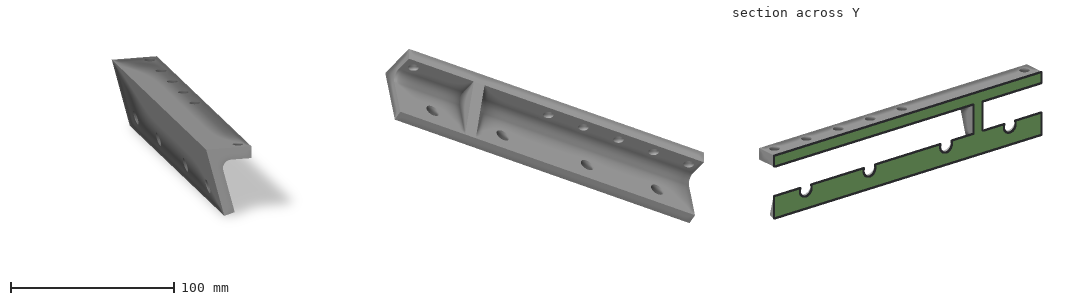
import cadquery as cq
import math

length = 210.0
depth = 28.8
height = 43.0
flange_thickness = 7.5
wall_thickness = 7.0
wall_lean = 15.0
inner_radius = 5.0

flange_hole_diameter = 6.5
flange_hole_end_margin = 7.0
flange_hole_back_margin = 6.5
flange_hole_pitch = 25.0
flange_hole_row_count = 5

wall_hole_diameter = 8.8
wall_hole_end_margin = 25.0
wall_hole_pair_pitch = 50.0
wall_hole_height = 12.2

gusset_thickness = 7.5

lean = math.radians(wall_lean)
wall_run = height * math.tan(lean)
flange_underside = height - flange_thickness

toe_y = wall_run + wall_thickness * math.cos(lean)
toe_z = wall_thickness * math.sin(lean)
inner_corner_y = toe_y - (flange_underside - toe_z) * math.tan(lean)


def extrude_profile(points, start_x, thickness):
    """Extrude a closed (Y, Z) outline along X."""
    return (
        cq.Workplane("YZ", origin=(start_x, 0, 0))
        .polyline(points)
        .close()
        .extrude(thickness)
    )


bracket = extrude_profile(
    [
        (0, height),
        (depth, height),
        (depth, flange_underside),
        (inner_corner_y, flange_underside),
        (toe_y, toe_z),
        (wall_run, 0),
    ],
    0,
    length,
)
inner_edge = cq.selectors.NearestToPointSelector((length / 2, inner_corner_y, flange_underside))
bracket = bracket.edges("|X").edges(inner_edge).fillet(inner_radius)

left_pair = [wall_hole_end_margin, wall_hole_end_margin + wall_hole_pair_pitch]
right_pair = [length - x for x in reversed(left_pair)]

gusset_center = sum(right_pair) / len(right_pair)
gusset = extrude_profile(
    [
        (0, height),
        (depth, height),
        (depth, flange_underside),
        (toe_y, toe_z),
        (wall_run, 0),
    ],
    gusset_center - gusset_thickness / 2,
    gusset_thickness,
)
result = bracket.union(gusset)

flange_hole_xs = [
    flange_hole_end_margin + i * flange_hole_pitch for i in range(flange_hole_row_count)
]
flange_hole_xs.append(length - flange_hole_end_margin)
for x in flange_hole_xs:
    hole = cq.Solid.makeCylinder(
        flange_hole_diameter / 2,
        flange_thickness,
        cq.Vector(x, depth - flange_hole_back_margin, flange_underside),
    )
    result = result.cut(cq.Workplane(hole))

wall_normal = cq.Vector(0, math.cos(lean), math.sin(lean))
wall_hole_y = (height - wall_hole_height) * math.tan(lean)
for x in left_pair + right_pair:
    center = cq.Vector(x, wall_hole_y, wall_hole_height)
    hole = cq.Solid.makeCylinder(
        wall_hole_diameter / 2,
        3 * wall_thickness,
        center - wall_normal * wall_thickness,
        wall_normal,
    )
    result = result.cut(cq.Workplane(hole))